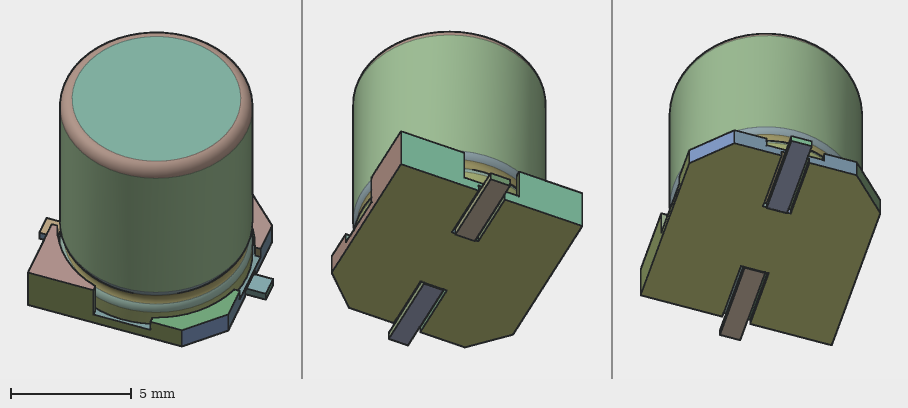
import cadquery as cq
import math


total_height = 10.05
lead_span = 10.0

base_width = 8.3
base_bottom = 0.06
floor_thickness = 0.5
low_wall_height = 1.0
high_wall_height = 2.0
corner_chamfer = 1.5
notch_width = 2.51
pocket_radius = 4.1

floor_top = base_bottom + floor_thickness
low_wall_top = base_bottom + low_wall_height
high_wall_top = base_bottom + high_wall_height

can_radius = 4.0
top_round = 0.5
groove_height = 1.91
groove_lip_radius = 0.5
groove_root_radius = 0.37
eighth_turn = math.radians(45)

lead_width = 0.88
lead_thickness = 0.37
lead_inner_end = 1.54
slot_width = 1.21


def make_base():
    """Square base with two cut corners, lower walls on the +X half and a notch in each side."""
    base_height = high_wall_top - base_bottom
    base = (
        cq.Workplane("XY", origin=(0, 0, base_bottom))
        .rect(base_width, base_width)
        .extrude(base_height)
        .edges("|Z and >X")
        .chamfer(corner_chamfer)
    )
    lowered_half = cq.Workplane("XY", origin=(base_width / 2, 0, low_wall_top)).box(
        base_width, base_width, base_height, centered=(True, True, False)
    )
    pocket = cq.Workplane("XY", origin=(0, 0, floor_top)).circle(pocket_radius).extrude(base_height)
    base = base.cut(lowered_half).cut(pocket)
    for notch_size_x, notch_size_y in ((base_width, notch_width), (notch_width, base_width)):
        notch = cq.Workplane("XY", origin=(0, 0, floor_top)).box(
            notch_size_x, notch_size_y, base_height, centered=(True, True, False)
        )
        base = base.cut(notch)
    return base


def arc_offset(radius, angle):
    """Inward and vertical distance covered by an arc that starts out vertical and turns by angle."""
    return radius * (1 - math.cos(angle)), radius * math.sin(angle)


def make_can():
    """Revolved can with a rounded top rim and a smooth rolled groove near the bottom."""
    lip_in, lip_rise = arc_offset(groove_lip_radius, eighth_turn)
    lip_mid_in, lip_mid_rise = arc_offset(groove_lip_radius, eighth_turn / 2)
    root_in, root_rise = arc_offset(groove_root_radius, eighth_turn)

    groove_half = lip_rise + root_rise
    lip_end_radius = can_radius - lip_in
    root_radius = lip_end_radius - root_in
    lip_mid_radius = can_radius - lip_mid_in
    lower_start = groove_height - groove_half
    upper_end = groove_height + groove_half
    rim_mid_in, rim_mid_rise = arc_offset(top_round, eighth_turn)
    rim_start = total_height - top_round

    profile = (
        cq.Workplane("XZ")
        .moveTo(0, floor_top)
        .lineTo(can_radius, floor_top)
        .lineTo(can_radius, lower_start)
        .threePointArc((lip_mid_radius, lower_start + lip_mid_rise), (lip_end_radius, lower_start + lip_rise))
        .threePointArc((root_radius, groove_height), (lip_end_radius, groove_height + root_rise))
        .threePointArc((lip_mid_radius, upper_end - lip_mid_rise), (can_radius, upper_end))
        .lineTo(can_radius, rim_start)
        .threePointArc(
            (can_radius - rim_mid_in, rim_start + rim_mid_rise), (can_radius - top_round, total_height)
        )
        .lineTo(0, total_height)
        .close()
    )
    return profile.revolve(360, (0, 0, 0), (0, 1, 0))


def lead_block(side, width):
    """Flat bar of the given width, from the lead's inner end to its tip on side +1 or -1 of X."""
    length = lead_span / 2 - lead_inner_end
    middle = side * (lead_inner_end + length / 2)
    return cq.Workplane("XY", origin=(middle, 0, 0)).box(
        length, width, lead_thickness, centered=(True, True, False)
    )


base = make_base()
for side in (-1, 1):
    base = base.cut(lead_block(side, slot_width)).union(lead_block(side, lead_width))

result = base.union(make_can())